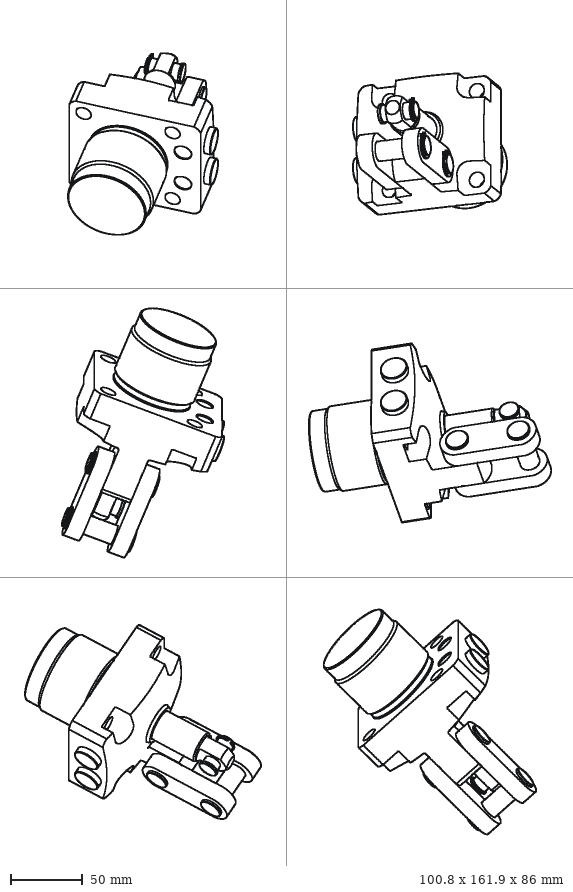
import cadquery as cq
import math


BLOCK_LEFT = -43.0
BLOCK_RIGHT = 53.0
BLOCK_HEIGHT = 86.0
BLOCK_BOTTOM = -BLOCK_HEIGHT / 2
BLOCK_TOP_Y = 40.0
CORNER_SETBACK = 4.9
CORNER_RADIUS = 8.0
CONE_FLAT_RADIUS = 20.0
CONE_ANGLE = 15.0
CONE_OUTER_RADIUS = 80.0

BOLT_OFFSET = 32.5
BOLT_HOLE_DIAMETER = 11.0
POCKET_WIDTH = 18.5
POCKET_FLOOR_Y = 20.0
POCKET_REACH = 40.0
POCKET_FILLET = 0.6

PORT_OFFSET_Z = 15.0
RECESS_X = 40.0
RECESS_DIAMETER = 12.5
RECESS_DEPTH = 1.0
PLUG_Y = 17.0
PLUG_DIAMETER = 19.0
PLUG_LENGTH = 4.8
PLUG_CHAMFER = 0.5

BARREL_END_Y = -51.0
BARREL_RADIUS = 30.0
BARREL_TOP_Y = -6.1
BARREL_BOTTOM_Y = -37.4
NECK_RADIUS = 28.6
NECK_ROOT_RADIUS = 29.0
NECK_ROOT_Y = -1.0
NECK_END_Y = -4.9
STEP_RADIUS = 29.2
STEP_Y = -38.5
TAIL_RADIUS = 28.6
TAIL_TOP_Y = -39.4
TAIL_CHAMFER = 0.8

LIP_TOP_Y = 42.5
LIP_TOP_RADIUS = 13.8
LIP_ROOT_RADIUS = 14.8

ROD_RADIUS = 11.2
ROD_BOTTOM_Y = 0.0
ROD_SHOULDER_Y = 77.2
ROD_CHAMFER = 1.1
TONGUE_RADIUS = ROD_RADIUS - ROD_CHAMFER
TONGUE_TOP_Y = 100.0
TONGUE_CHAMFER = 5.0
TONGUE_THICKNESS = 11.0
TONGUE_ROOT_Y = 78.0
TONGUE_ROOT_FILLET = 1.0

LINK_GAP = 22.0
LINK_THICKNESS = 12.0
LINK_WIDTH = 25.2
LINK_END_RADIUS = 13.0
LINK_OVERHANG = 12.5
LINK_SPACING = 44.0
LINK_AXIS_Z = BLOCK_BOTTOM + LINK_WIDTH / 2
HINGE_Y = 54.45
LINK_PIN_Y = HINGE_Y + LINK_SPACING

LUG_TOP_Z = -16.9
LUG_END_RADIUS = 16.8
LUG_ROOT_Y = 20.0
LUG_ROOT_FILLET = 1.5
LUG_TRIM = 8.0
LUG_SIDE_MARGIN = 0.1

ROD_PIN_Y = 89.0
ROD_PIN_DIAMETER = 12.0
LINK_PIN_DIAMETER = 14.0
PIN_TAIL_LENGTH = 2.7
PIN_CHAMFER = 0.4
HEAD_OVERHANG = 1.0
HEAD_THICKNESS = 1.9
HEAD_CHAMFER = 0.4
RING_THICKNESS = 1.1
RING_OVERHANG = 1.15
RING_ECCENTRICITY = 0.7
RING_GAP_WIDTH = 3.0
RING_OPENING_ANGLE = 118.0
EAR_SPREAD_ANGLE = 19.0
EAR_RADIUS = 1.4
EAR_OVERHANG = 1.4
EAR_HOLE_RADIUS = 0.7


def box(x_range, y_range, z_range):
    """Box between two limits along each axis."""
    size = [high - low for low, high in (x_range, y_range, z_range)]
    corner = (x_range[0], y_range[0], z_range[0])
    return cq.Workplane("XY").box(*size, centered=False).translate(corner)


def y_cylinder(x, z, radius, y_start, y_end):
    """Cylinder along Y between two Y positions."""
    return cq.Workplane("XZ", origin=(x, y_start, z)).circle(radius).extrude(y_start - y_end)


def x_cylinder(y, z, radius, x_start, x_end):
    """Cylinder along X between two X positions."""
    return cq.Workplane("YZ", origin=(x_start, y, z)).circle(radius).extrude(x_end - x_start)


def turned(profile):
    """Solid turned about the Y axis from (radius, y) points."""
    return cq.Workplane("XY").polyline(profile).close().revolve(360, (0, 0, 0), (0, 1, 0))


def ring_point(angle, distance):
    """(y, z) point at a distance from a pin axis; the angle runs from -Y toward +Z."""
    turn = math.radians(angle)
    return -distance * math.cos(turn), distance * math.sin(turn)


def retaining_ring(pin_radius):
    """Eccentric open ring with two pierced ears, from X = 0 toward -X, about the X axis."""
    def plate(center, radius):
        return x_cylinder(*center, radius, -RING_THICKNESS, 0)

    ring = plate(ring_point(RING_OPENING_ANGLE, -RING_ECCENTRICITY), pin_radius + RING_OVERHANG)
    opening = (
        box((-RING_THICKNESS, 0), (-2 * pin_radius, 0), (-RING_GAP_WIDTH / 2, RING_GAP_WIDTH / 2))
        .rotate((0, 0, 0), (1, 0, 0), -RING_OPENING_ANGLE)
    )
    ring = ring.cut(opening)
    for side in (-1, 1):
        ear_center = ring_point(RING_OPENING_ANGLE + side * EAR_SPREAD_ANGLE, pin_radius + EAR_OVERHANG)
        ring = ring.union(plate(ear_center, EAR_RADIUS)).cut(plate(ear_center, EAR_HOLE_RADIUS))
    return ring


def headed_pin(y, z, diameter, grip):
    """Pin along X whose head and ring bear on faces a grip length apart, centred on X = 0."""
    radius = diameter / 2
    face = grip / 2
    shank = x_cylinder(y, z, radius, -face - PIN_TAIL_LENGTH, face)
    shank = shank.faces("<X").chamfer(PIN_CHAMFER)
    head = x_cylinder(y, z, radius + HEAD_OVERHANG, face, face + HEAD_THICKNESS)
    head = head.faces(">X").chamfer(HEAD_CHAMFER)
    ring = retaining_ring(radius).translate((-face, y, z))
    return shank.union(head).union(ring)


def link_pin(y):
    """Pin through both link plates at the given Y."""
    return headed_pin(y, LINK_AXIS_Z, LINK_PIN_DIAMETER, LINK_GAP + 2 * LINK_THICKNESS)


def bolt_pocket(x_side, z_side):
    """Bolt head pocket open toward +Y and the near Z side, and also toward -X at the left bolts."""
    bolt_x = x_side * BOLT_OFFSET
    bolt_z = z_side * BOLT_OFFSET
    half = POCKET_WIDTH / 2
    heights = (POCKET_FLOOR_Y, BLOCK_TOP_Y)
    z_limits = sorted((bolt_z, bolt_z + z_side * POCKET_REACH))
    pocket = y_cylinder(bolt_x, bolt_z, half, *heights)
    pocket = pocket.union(box((bolt_x - half, bolt_x + half), heights, z_limits))
    if x_side < 0:
        inner_z = bolt_z - z_side * half
        side_limits = sorted((inner_z, inner_z + z_side * POCKET_REACH))
        pocket = pocket.union(box((bolt_x - POCKET_REACH, bolt_x), heights, side_limits))
    return pocket.faces("<Y").edges().fillet(POCKET_FILLET)


def barrel_and_lip():
    """Stepped cylinder below the flange, and the seal lip around the rod above it."""
    barrel = turned([
        (0, 0),
        (NECK_ROOT_RADIUS, 0),
        (NECK_RADIUS, NECK_ROOT_Y),
        (NECK_RADIUS, NECK_END_Y),
        (BARREL_RADIUS, BARREL_TOP_Y),
        (BARREL_RADIUS, BARREL_BOTTOM_Y),
        (STEP_RADIUS, STEP_Y),
        (TAIL_RADIUS, TAIL_TOP_Y),
        (TAIL_RADIUS, BARREL_END_Y + TAIL_CHAMFER),
        (TAIL_RADIUS - TAIL_CHAMFER, BARREL_END_Y),
        (0, BARREL_END_Y),
    ])
    lip = turned([
        (0, BLOCK_TOP_Y),
        (LIP_ROOT_RADIUS, BLOCK_TOP_Y),
        (LIP_TOP_RADIUS, LIP_TOP_Y),
        (0, LIP_TOP_Y),
    ])
    return barrel, lip


def hinge_lug():
    """Lug between the link plates, rounded about the hinge, with extra depth below to trim off."""
    half = LINK_GAP / 2
    limits = (BLOCK_BOTTOM - LUG_TRIM, LUG_TOP_Z)
    end = x_cylinder(HINGE_Y, LINK_AXIS_Z, LUG_END_RADIUS, -half, half)
    end = end.intersect(box((-half, half), (HINGE_Y, HINGE_Y + LUG_END_RADIUS), limits))
    return end.union(box((-half, half), (LUG_ROOT_Y, HINGE_Y), limits))


def fillet_lug_root(body):
    """Fillet the two side edges where the lug meets the cone."""
    half = LINK_GAP / 2
    for x in (-half, half):
        root = cq.selectors.BoxSelector(
            (x - LUG_SIDE_MARGIN, LUG_ROOT_Y + LUG_SIDE_MARGIN, BLOCK_BOTTOM),
            (x + LUG_SIDE_MARGIN, BLOCK_TOP_Y, LUG_TOP_Z - LUG_SIDE_MARGIN),
        )
        body = body.edges(root).fillet(LUG_ROOT_FILLET)
    return body


def flange_block():
    """Block with rounded corners, a shallow cone on its +Y side and the hinge lug."""
    corners = [
        (BLOCK_LEFT, BLOCK_BOTTOM, 1, 1),
        (BLOCK_RIGHT, BLOCK_BOTTOM, -1, 1),
        (BLOCK_RIGHT, -BLOCK_BOTTOM, -1, -1),
        (BLOCK_LEFT, -BLOCK_BOTTOM, 1, -1),
    ]
    outline = cq.Workplane("XZ").moveTo(BLOCK_LEFT, 0)
    for x, z, inward_x, inward_z in corners:
        on_side = (x, z + inward_z * CORNER_SETBACK)
        on_edge = (x + inward_x * CORNER_SETBACK, z)
        leaves_side = inward_x == inward_z
        first, last = (on_side, on_edge) if leaves_side else (on_edge, on_side)
        outline = outline.lineTo(*first).radiusArc(last, -CORNER_RADIUS)
    prism = outline.close().extrude(-HINGE_Y - LUG_END_RADIUS)
    cone_drop = (CONE_OUTER_RADIUS - CONE_FLAT_RADIUS) * math.tan(math.radians(CONE_ANGLE))
    cone = turned([
        (0, 0),
        (CONE_OUTER_RADIUS, 0),
        (CONE_OUTER_RADIUS, BLOCK_TOP_Y - cone_drop),
        (CONE_FLAT_RADIUS, BLOCK_TOP_Y),
        (0, BLOCK_TOP_Y),
    ])
    return fillet_lug_root(cone.union(hinge_lug())).intersect(prism)


def make_housing():
    """Flange block with cylinder, lug, plugs and the fixed hinge pin."""
    body = flange_block()
    for x_side in (-1, 1):
        for z_side in (-1, 1):
            body = body.cut(bolt_pocket(x_side, z_side))
            body = body.cut(
                y_cylinder(x_side * BOLT_OFFSET, z_side * BOLT_OFFSET, BOLT_HOLE_DIAMETER / 2, 0, BLOCK_TOP_Y)
            )
    for z in (-PORT_OFFSET_Z, PORT_OFFSET_Z):
        body = body.cut(y_cylinder(RECESS_X, z, RECESS_DIAMETER / 2, 0, RECESS_DEPTH))
        plug = x_cylinder(PLUG_Y, z, PLUG_DIAMETER / 2, BLOCK_RIGHT, BLOCK_RIGHT + PLUG_LENGTH)
        body = body.union(plug.faces(">X").chamfer(PLUG_CHAMFER))
    for feature in barrel_and_lip():
        body = body.union(feature)
    body = body.cut(y_cylinder(0, 0, ROD_RADIUS, ROD_BOTTOM_Y, LIP_TOP_Y))
    return body.union(link_pin(HINGE_Y))


def make_rod():
    """Piston rod with a flattened tongue and the pin through it."""
    rod = turned([
        (0, ROD_BOTTOM_Y),
        (ROD_RADIUS, ROD_BOTTOM_Y),
        (ROD_RADIUS, ROD_SHOULDER_Y - ROD_CHAMFER),
        (TONGUE_RADIUS, ROD_SHOULDER_Y),
        (TONGUE_RADIUS, TONGUE_TOP_Y - TONGUE_CHAMFER),
        (TONGUE_RADIUS - TONGUE_CHAMFER, TONGUE_TOP_Y),
        (0, TONGUE_TOP_Y),
    ])
    for side in (-1, 1):
        limits = sorted((side * TONGUE_THICKNESS / 2, side * ROD_RADIUS))
        flat = box(limits, (TONGUE_ROOT_Y, TONGUE_TOP_Y), (-ROD_RADIUS, ROD_RADIUS))
        inner_face = "<X" if side > 0 else ">X"
        rod = rod.cut(flat.faces(inner_face).edges("<Y").fillet(TONGUE_ROOT_FILLET))
    return rod.union(headed_pin(ROD_PIN_Y, 0, ROD_PIN_DIAMETER, LINK_GAP))


def make_link(side):
    """Link plate with two pin holes; side is -1 or 1 along X."""
    start, end = sorted((side * LINK_GAP / 2, side * (LINK_GAP / 2 + LINK_THICKNESS)))
    half = LINK_WIDTH / 2
    arc_depth = LINK_END_RADIUS - math.sqrt(LINK_END_RADIUS**2 - half**2)
    low_y = HINGE_Y - LINK_OVERHANG
    high_y = LINK_PIN_Y + LINK_OVERHANG
    low_z = LINK_AXIS_Z - half
    high_z = LINK_AXIS_Z + half
    plate = (
        cq.Workplane("YZ", origin=(start, 0, 0))
        .moveTo(low_y + arc_depth, low_z)
        .lineTo(high_y - arc_depth, low_z)
        .threePointArc((high_y, LINK_AXIS_Z), (high_y - arc_depth, high_z))
        .lineTo(low_y + arc_depth, high_z)
        .threePointArc((low_y, LINK_AXIS_Z), (low_y + arc_depth, low_z))
        .close()
        .extrude(end - start)
    )
    for y in (HINGE_Y, LINK_PIN_Y):
        plate = plate.cut(x_cylinder(y, LINK_AXIS_Z, LINK_PIN_DIAMETER / 2, start, end))
    return plate


housing = make_housing()
rod = make_rod()
links = [make_link(side) for side in (-1, 1)]
upper_pin = link_pin(LINK_PIN_Y)

result = cq.Compound.makeCompound([
    housing.val(),
    rod.val(),
    *[link.val() for link in links],
    upper_pin.val(),
])